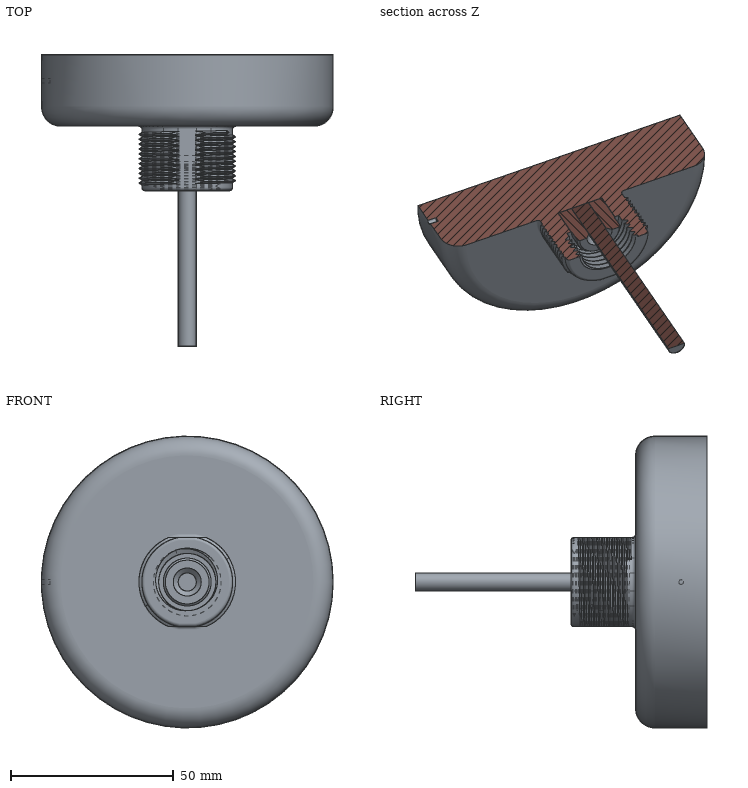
import cadquery as cq


disc_radius = 45.0
disc_depth = 22.05
disc_fillet = 6.0

neck_diameter = 28.0
neck_radius = neck_diameter / 2
neck_length = 19.9
neck_fillet = 1.0
width_across_flats = 27.5
neck_top = disc_depth + neck_length

ridge_pitch = 1.5
ridge_height = 0.9
ridge_base_width = 1.2
ridge_turns = 10.5
ridge_start_angle = 30.0
ridge_offset = 1.9

bore_radius = 8.8
bore_depth = 10.8
bore_floor = neck_top - bore_depth
groove_pitch = 1.8
groove_depth = 1.6
groove_mouth_width = 1.6
groove_turns = 5
groove_mouth_angle = 110.0

thread_root_overlap = 0.2

rim_hole_radius = 0.7
rim_hole_depth = 2.7
rim_hole_height = 8.0

gland_radius = 7.4
gland_chamfer = 0.6
gland_recess = 6.2
gland_top = neck_top - gland_recess
gland_mouth_radius = 4.3

cable_radius = 2.8
cable_end = 89.9
countersink_depth = gland_mouth_radius - cable_radius

turn_axis = ((0, 0, 0), (0, 0, 1))


def cylinder(radius, bottom, top):
    return cq.Workplane("XY").workplane(offset=bottom).circle(radius).extrude(top - bottom)


def helical_thread(surface_radius, crest_radius, base_width, pitch, turns):
    """Triangular thread that starts at +X and Z = 0, with its crest outwards from the surface."""
    root_radius = surface_radius - thread_root_overlap
    root_half_width = base_width / 2 * (1 + thread_root_overlap / (crest_radius - surface_radius))
    path = cq.Workplane(cq.Wire.makeHelix(pitch, turns * pitch, surface_radius))
    profile = cq.Workplane("XZ").polyline(
        [(root_radius, -root_half_width), (crest_radius, 0), (root_radius, root_half_width)]
    ).close()
    return profile.sweep(path, isFrenet=True)


def within_flats(body):
    """Trim a body to the slab between the two flats of the neck."""
    slab = cq.Workplane("XY").box(2 * disc_radius, width_across_flats, 2 * neck_top)
    return body.intersect(slab)


def disc_with_neck():
    """Disc with a rounded front edge, and the flatted neck blended into it."""
    disc = cylinder(disc_radius, 0, disc_depth).faces(">Z").edges().fillet(disc_fillet)
    neck = within_flats(cylinder(neck_radius, disc_depth, neck_top))
    reach = neck_radius + neck_fillet
    neck_base_edges = cq.selectors.BoxSelector(
        (-reach, -reach, disc_depth - neck_fillet),
        (reach, reach, disc_depth + neck_fillet),
        boundingbox=True,
    )
    body = disc.union(neck).edges(neck_base_edges).fillet(neck_fillet)
    return body.faces(">Z").edges().fillet(neck_fillet)


def neck_ridge():
    """External thread of the neck, interrupted at the two flats."""
    ridge = helical_thread(
        neck_radius, neck_radius + ridge_height, ridge_base_width, ridge_pitch, ridge_turns
    )
    start = disc_depth + ridge_offset
    return within_flats(ridge.rotate(*turn_axis, ridge_start_angle).translate((0, 0, start)))


def bore_groove():
    """Internal thread groove of the bore, which runs out through the end face."""
    groove = helical_thread(
        bore_radius, bore_radius + groove_depth, groove_mouth_width, groove_pitch, groove_turns + 1
    )
    start = neck_top - groove_turns * groove_pitch
    return groove.rotate(*turn_axis, groove_mouth_angle).translate((0, 0, start))


def rim_hole():
    return (
        cq.Workplane("YZ").workplane(offset=-disc_radius)
        .center(0, rim_hole_height).circle(rim_hole_radius).extrude(rim_hole_depth)
    )


def make_housing():
    body = disc_with_neck().union(neck_ridge())
    body = body.cut(cylinder(bore_radius, bore_floor, neck_top))
    body = body.cut(bore_groove())
    body = body.cut(cylinder(gland_radius, disc_depth, bore_floor))
    return body.cut(rim_hole())


def make_gland():
    gland = cylinder(gland_radius, disc_depth, gland_top).faces(">Z").chamfer(gland_chamfer)
    gland = gland.cut(cylinder(cable_radius, disc_depth, gland_top))
    countersink = (
        cq.Workplane("XY").workplane(offset=gland_top - countersink_depth).circle(cable_radius)
        .workplane(offset=countersink_depth).circle(gland_mouth_radius).loft()
    )
    return gland.cut(countersink)


def make_cable():
    return cylinder(cable_radius, disc_depth, cable_end)


def in_place(body):
    """Turn a body modelled along +Z so that its axis points along -Y."""
    return body.rotate((0, 0, 0), (1, 0, 0), 90).solids().val()


housing = in_place(make_housing())
gland = in_place(make_gland())
cable = in_place(make_cable())
result = cq.Compound.makeCompound([housing, gland, cable])